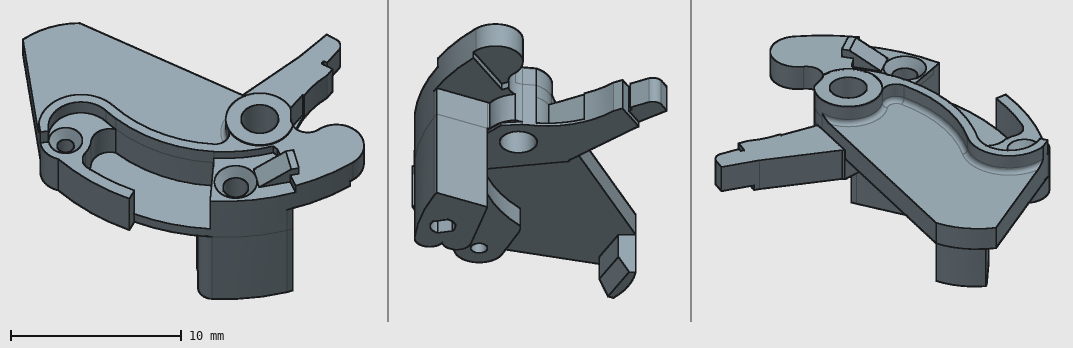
import cadquery as cq
import math


tooth_top = 0.53
pivot_top = 0.07
rim_top = 0.0
land_z = -0.6
ledge_z = -0.99
web_top = -1.15
hook_tip_bottom = -1.58
hook_bottom = -2.0
arm_top = -2.0
web_bottom = -2.59
pocket_floor = -3.11
arm_tip_bottom = -3.7
body_bottom = -3.83
arm_bottom = -4.03
catch_bevel_z = -4.16
catch_bottom = -5.24
post_bottom = -9.47

sweep_centre = (-5.57, 4.38)
outer_radius = 12.55
ledge_radius = 13.25
pocket_radius = 9.25
wall_thickness = 0.57
wall_radius = pocket_radius - wall_thickness
ledge_end_angle = -80.0
land_start_angle = -59.0
land_end_angle = -37.2
rim_loop_radius = 2.5
rim_loop_angle = 256.0
notch_radius = 0.83
fillet_radius = 0.3

pivot = (0.0, 0.0)
pivot_radius = 2.0
pivot_bore_radius = 1.1
hook_radius = 1.62
hook_angle = -18.3
valley_radius = 0.99
valley_angle = 165.0
valley_start_angle = 218.0
arm_root_angle = 59.0
boss_centre = (-8.9, -7.15)
boss_radius = 1.5
boss_corner_angle = 222.0
boss_flat_angle = 141.0
boss_hole_radius = 0.493
boss_sink_radius = 0.99

screw_centre = (1.3, -4.32)
screw_radius = 0.75
screw_sink_radius = 1.25
screw_flat_width = 1.2
screw_flat_angle = 14.0
lobe_radius = 0.88
lobe_centre = (-0.44, -4.3)
lobe_start_angle = 132.0
lobe_end_angle = -58.5
post_corner_angle = -38.2

tooth_width = 1.42
tooth_reach = 3.64
tooth_flat = 0.45
tooth_angle = 48.0
ramp_angle = 30.0

web_corner = (-15.47, -2.1)
web_side = (-14.65, -0.35)
web_tip = (-13.47, 0.83)
web_tangent_angle = 95.0
web_inset = 0.02
catch_outer = (-15.25, -1.55)
catch_inner = (-14.5, -2.1)
catch_inner_end = (-13.0, -0.07)
catch_bevel = 0.57


def polar(centre, radius, angle):
    a = math.radians(angle)
    return (centre[0] + radius * math.cos(a), centre[1] + radius * math.sin(a))


def bearing(start, end):
    return math.degrees(math.atan2(end[1] - start[1], end[0] - start[0]))


def circle_crossing(c1, r1, c2, r2, side):
    """Crossing of two circles, to the left (side=1) or right (side=-1) of the line c1-c2."""
    gap = math.dist(c1, c2)
    turn = math.degrees(math.acos((r1**2 + gap**2 - r2**2) / (2 * r1 * gap)))
    return polar(c1, r1, bearing(c1, c2) + side * turn)


def at(point):
    return cq.Workplane("XY").moveTo(*point)


def arc(path, centre, radius, start, end):
    """Add an arc from the current point, running from angle start to angle end."""
    return path.threePointArc(polar(centre, radius, (start + end) / 2), polar(centre, radius, end))


def prism(path, bottom, top):
    return path.close().extrude(top - bottom).translate((0, 0, bottom))


def cylinder(centre, radius, bottom, top):
    return cq.Workplane("XY", origin=(*centre, bottom)).circle(radius).extrude(top - bottom)


rim_loop = polar(sweep_centre, wall_radius + rim_loop_radius, rim_loop_angle)
notch = circle_crossing(pivot, pivot_radius + notch_radius, sweep_centre, wall_radius - notch_radius, 1)
hook = polar(sweep_centre, outer_radius - hook_radius, hook_angle)
valley = polar(hook, hook_radius + valley_radius, valley_angle)
boss_corner = polar(boss_centre, boss_radius, boss_corner_angle)
boss_ledge = circle_crossing(sweep_centre, ledge_radius, boss_centre, boss_radius, 1)
web_tangent = polar(pivot, pivot_radius - web_inset, web_tangent_angle)
post_inner = (1.86, -1.1)
post_outer = (4.51, -3.07)
post_corner = polar(sweep_centre, outer_radius, post_corner_angle)
post_side = (1.62, -1.3)


def finish_outline(path, wall_start, boss_end):
    """Complete the body outline from the wall, round the hook, to the small boss."""
    notch_in = bearing(sweep_centre, notch)
    path = arc(path, sweep_centre, wall_radius, wall_start - 360, notch_in)
    path = arc(path, notch, notch_radius, notch_in, bearing(notch, pivot))
    path = arc(path, pivot, pivot_radius, bearing(pivot, notch) + 360, arm_root_angle)
    path = path.lineTo(*polar(valley, valley_radius, valley_start_angle))
    path = arc(path, valley, valley_radius, valley_start_angle, valley_angle + 180)
    path = arc(path, hook, hook_radius, valley_angle, hook_angle)
    path = arc(path, sweep_centre, outer_radius, hook_angle, ledge_end_angle)
    path = path.lineTo(*polar(sweep_centre, ledge_radius, ledge_end_angle))
    path = arc(path, sweep_centre, ledge_radius, ledge_end_angle, bearing(sweep_centre, boss_ledge))
    return arc(path, boss_centre, boss_radius, bearing(boss_centre, boss_ledge) + 360, boss_end)


def make_upper_body():
    """Body beside and above the web, running past the straight lower-left edge."""
    loop_start = 226.0
    boss_end = 235.0
    path = at(polar(rim_loop, rim_loop_radius, loop_start))
    path = arc(path, rim_loop, rim_loop_radius, loop_start, rim_loop_angle - 180)
    return finish_outline(path, rim_loop_angle, boss_end)


def make_lower_body():
    """Body below the web, with a flat between the small boss and the wall."""
    wall_start = 254.0
    flat_end = (-8.57, -4.4)
    path = at(polar(boss_centre, boss_radius, boss_flat_angle)).lineTo(*flat_end)
    path = path.tangentArcPoint(polar(sweep_centre, wall_radius, wall_start), relative=False)
    return prism(finish_outline(path, wall_start, boss_flat_angle), body_bottom, web_bottom)


def make_web():
    """Web reaching past its straight lower-left edge, which is trimmed after filleting."""
    path = at((-16.43, -4.38)).lineTo(*web_corner).threePointArc(web_side, web_tip)
    path = path.lineTo(*web_tangent).lineTo(*pivot).lineTo(0.44, -1.75)
    for angle in (305, 285, 270):
        path = path.lineTo(*polar(sweep_centre, pocket_radius - 0.22, angle))
    path = path.lineTo(*boss_centre).lineTo(-10.95, -9.85)
    return prism(path, web_bottom, web_top)


def make_web_trim():
    """Everything beyond the straight lower-left edge and outside the small boss."""
    trim_end = 255.0
    path = at(web_corner).lineTo(*boss_corner)
    path = arc(path, boss_centre, boss_radius, boss_corner_angle, trim_end)
    path = path.lineTo(*polar(boss_centre, 4.38, trim_end)).lineTo(-19.72, -10.95).lineTo(-19.72, -2.1)
    return prism(path, body_bottom, tooth_top)


def make_arm():
    """Arm with a stepped, thinner tip; its root runs under the web to the body wall."""
    path = at((-1.51, 9.0)).lineTo(-0.75, 9.0).threePointArc((-0.4, 8.8), (-0.25, 8.45)).lineTo(-0.25, 7.23)
    path = path.lineTo(-0.48, 7.23).lineTo(-0.48, 7.01).lineTo(0.3, 7.01).lineTo(0.3, 6.4)
    path = path.threePointArc((0.09, 4.6), polar(pivot, pivot_radius, arm_root_angle))
    path = path.lineTo(*polar(valley, valley_radius, valley_start_angle)).lineTo(2.0, -0.15).lineTo(*post_side)
    path = path.lineTo(0.37, -3.45).lineTo(-1.42, -3.45).lineTo(-3.11, 1.73).lineTo(-3.0, 1.85).lineTo(-1.85, 6.7)
    step = cq.Workplane("XY").box(4.38, 2.2, arm_tip_bottom - arm_bottom, centered=(True, False, False))
    return prism(path, arm_bottom, arm_top).cut(step.translate((-0.88, 7.01, arm_bottom)))


def make_hook_relief():
    """Clears the space under the hook, leaving its tip thinner still."""
    path = at(post_inner).lineTo(*post_outer).lineTo(*post_corner)
    path = path.lineTo(8.76, -4.38).lineTo(8.76, 4.38).lineTo(0, 4.38).lineTo(*pivot)
    tip = cq.Workplane("XY").box(6.57, 4.38, 4.38, centered=False).translate((2.63, 0.26, hook_tip_bottom - 4.38))
    relief = prism(path, body_bottom, hook_bottom).union(tip)
    return relief.cut(cylinder(pivot, pivot_radius, body_bottom, rim_top))


def make_ledge_recess():
    """Lower surface round the small boss, open to the outer side."""
    inner_radius = rim_loop_radius - wall_thickness
    end = bearing(rim_loop, boss_corner)
    wall_end = land_start_angle + 360
    path = at(polar(rim_loop, inner_radius, end))
    path = arc(path, rim_loop, inner_radius, end + 360, rim_loop_angle - 180)
    path = arc(path, sweep_centre, pocket_radius, rim_loop_angle, wall_end)
    path = path.lineTo(*polar(sweep_centre, outer_radius - 0.65, wall_end))
    path = path.lineTo(-2.1, -7.89).lineTo(-2.1, -10.95).lineTo(-10.0, -10.95).lineTo(*boss_corner)
    return prism(path, ledge_z, pivot_top)


def make_pocket():
    """Deep pocket between the wall and the outer side, curving round the small boss."""
    wall_start = -98.7
    outer_start = (-6.55, -8.13)
    path = at(polar(sweep_centre, pocket_radius, wall_start)).threePointArc((-7.75, -5.7), (-7.62, -6.38))
    path = path.threePointArc((-7.45, -6.81), (-7.4, -7.25)).threePointArc((-7.15, -7.89), outer_start)
    path = arc(path, sweep_centre, outer_radius, bearing(sweep_centre, outer_start), ledge_end_angle)
    path = arc(path, sweep_centre, outer_radius + 0.02, ledge_end_angle, land_start_angle)
    path = path.lineTo(*polar(sweep_centre, pocket_radius, land_start_angle))
    path = arc(path, sweep_centre, pocket_radius, land_start_angle, wall_start)
    return prism(path, pocket_floor, pivot_top)


def make_land_recess():
    """Shallow step down to the land round the screw hole."""
    path = at(polar(sweep_centre, pocket_radius, land_start_angle))
    path = arc(path, sweep_centre, pocket_radius, land_start_angle, land_end_angle)
    path = path.lineTo(2.15, -1.27).lineTo(4.62, -2.95).lineTo(6.57, -4.27).lineTo(3.29, -8.76)
    path = path.lineTo(*polar(sweep_centre, outer_radius, land_start_angle))
    return prism(path, land_z, pivot_top)


def make_post():
    """Post below the screw: straight on the inside, two lobes at the narrow end."""
    second = polar(sweep_centre, outer_radius - lobe_radius, lobe_end_angle)
    meet = circle_crossing(lobe_centre, lobe_radius, second, lobe_radius, -1)
    second_end = bearing(second, meet)
    if second_end > 0:
        second_end -= 360
    path = at(polar(lobe_centre, lobe_radius, lobe_start_angle)).lineTo(*post_side)
    path = path.lineTo(*post_inner).lineTo(*post_outer).lineTo(*post_corner)
    path = arc(path, sweep_centre, outer_radius, post_corner_angle, lobe_end_angle)
    path = arc(path, second, lobe_radius, lobe_end_angle, second_end)
    path = arc(path, lobe_centre, lobe_radius, bearing(lobe_centre, meet), lobe_start_angle - 360)
    return prism(path, post_bottom, body_bottom)


def make_tooth():
    """Tooth beside the screw with a ramp falling toward the countersink."""
    crest = tooth_reach - tooth_flat
    foot = crest - (tooth_top - land_z) / math.tan(math.radians(ramp_angle))
    base = land_z - 0.22
    profile = cq.Workplane("XZ").moveTo(tooth_reach, base).lineTo(tooth_reach, tooth_top)
    profile = profile.lineTo(crest, tooth_top).lineTo(foot, land_z).lineTo(foot, base).close()
    tooth = profile.extrude(tooth_width / 2, both=True).rotate((0, 0, 0), (0, 0, 1), tooth_angle)
    return tooth.translate((*screw_centre, 0))


def make_catch():
    """Downward catch at the web's far corner, bevelled at its lower inner edge."""
    path = at(catch_outer).lineTo(*catch_inner).lineTo(*catch_inner_end)
    path = path.lineTo(*web_tip).threePointArc(web_side, catch_outer)
    bevel = cq.Workplane("XZ").moveTo(0, catch_bevel_z).lineTo(0.1, catch_bevel_z).lineTo(0.1, catch_bottom)
    bevel = bevel.lineTo(-catch_bevel, catch_bottom).close().extrude(4.38, both=True)
    bevel = bevel.rotate((0, 0, 0), (0, 0, 1), bearing(catch_inner, catch_inner_end) - 90)
    return prism(path, catch_bottom, web_bottom).cut(bevel.translate((*catch_inner, 0)))


def countersunk(centre, radius, sink_radius, top, bottom):
    """Hole with a 45 degree countersink."""
    sink = cq.Workplane("XY", origin=(*centre, top)).circle(sink_radius)
    sink = sink.workplane(offset=radius - sink_radius).circle(radius).loft()
    return sink.union(cylinder(centre, radius, bottom, top))


def make_flatted_bore():
    """Lower part of the screw hole, narrowed by two flats."""
    height = pocket_floor - post_bottom
    flats = cq.Workplane("XY").box(screw_flat_width, 4.38, height, centered=(True, True, False))
    flats = flats.rotate((0, 0, 0), (0, 0, 1), screw_flat_angle).translate((*screw_centre, post_bottom))
    return cylinder(screw_centre, screw_radius, post_bottom, pocket_floor).intersect(flats)


body = prism(make_upper_body(), web_bottom, rim_top).union(make_web())
web_root = cq.selectors.BoxSelector((-11.4, -8.0, web_top - 0.02), (0, 1.2, web_top + 0.02))
body = body.edges(web_root).fillet(fillet_radius)
body = body.cut(make_web_trim())
body = body.union(make_lower_body())
body = body.union(make_arm())
body = body.cut(make_hook_relief())

pivot_face = prism(make_upper_body(), web_top, pivot_top)
body = body.union(pivot_face.intersect(cylinder(pivot, pivot_radius, web_top, pivot_top)))

body = body.cut(make_ledge_recess())
body = body.cut(make_pocket())
body = body.cut(make_land_recess())

body = body.union(make_post())
body = body.union(make_tooth())
body = body.union(make_catch())

body = body.cut(cylinder(pivot, pivot_bore_radius, arm_bottom, pivot_top))
body = body.cut(countersunk(boss_centre, boss_hole_radius, boss_sink_radius, ledge_z, body_bottom))
body = body.cut(countersunk(screw_centre, screw_radius, screw_sink_radius, land_z, pocket_floor))
result = body.cut(make_flatted_bore())